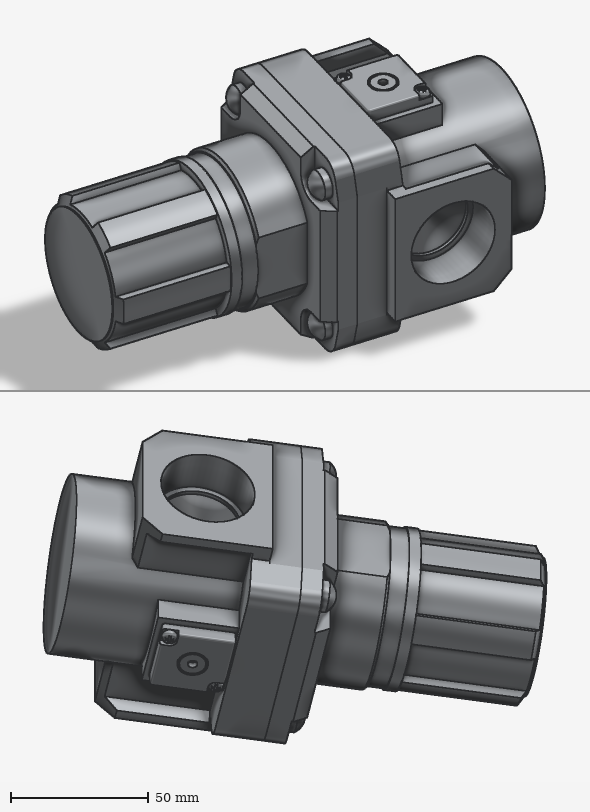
import cadquery as cq
import math


overall_width = 95.0
overall_height = 86.5

body_back_y = 46.0
port_block_back_y = 24.2
pad_back_y = 12.6
flange_back_y = -17.4
port_block_front_y = -24.0
split_y = -36.2
notch_floor_y = -44.0
bonnet_face_y = -49.9
neck_front_y = -71.1
collar_step_y = -78.0
collar_front_y = -82.4
knob_front_y = -129.6

flange_half_width = 81.8 / 2
flange_half_height = 84.8 / 2
flange_flat_half_height = 28.1
flange_side_lean = 15.0
flange_corner_radius = 7.9

body_radius = 66.2 / 2
port_plate_x = overall_width / 2
port_block_half_height = 54.3 / 2
port_block_chamfer = 7.4
port_rim_inner_x = 43.5
recess_floor_x = 42.0
recess_floor_z = 22.3
port_radius = 34.8 / 2
port_depth = 16.7
port_cone_radius = 30.4 / 2
port_cone_setback = 1.5
port_cone_depth = 9.1
pad_half_width = 32.3 / 2
pad_z = 76.4 / 2

bevel_inset = 3.2
bevel_length = 5.3
screw_offset = 62.0 / 2
screw_head_radius = 11.8 / 2
screw_head_side = 3.2
screw_dome_height = 3.3
notch_inner_x = 23.0
notch_inner_z = 24.5
notch_radius = 8.0
neck_radius = 31.0
neck_flat_x = 56.0 / 2
neck_chamfer = 1.0

collar_rear_radius = 29.5
collar_front_radius = 30.0
knob_radius = 26.7
rib_radius = 29.5
knob_face_radius = 25.6
knob_face_step = 0.5
knob_bevel_length = 2.3
rib_width = 10.9
rib_count = 6
knob_edge_y = knob_front_y + knob_face_step

plate_size = 27.2
plate_center_y = -3.2
plate_height = overall_height / 2 - pad_z
plate_fillet = 1.0
plate_screw_offset = 10.5
plate_notch_depth = 2.3
plate_notch_radius = 2.8
plate_screw_radius = 5.8 / 2
plate_screw_fillet = 2.0
cross_length = 3.2
cross_width = 0.9
cross_depth = 0.7
ring_outer_radius = 5.6
ring_inner_radius = 5.0
ring_depth = 0.9
dimple_radius = 1.8
dimple_depth = 2.6


def section_at(y):
    """Sketch plane across the axis; extrusions run forward, toward -Y."""
    return cq.Workplane("XZ", origin=(0, y, 0))


def cylinder(radius, back_y, front_y):
    return section_at(back_y).circle(radius).extrude(back_y - front_y)


def frustum(back_radius, front_radius, back_y, front_y):
    return (
        cq.Workplane("XY")
        .polyline([(0, back_y), (back_radius, back_y), (front_radius, front_y), (0, front_y)])
        .close()
        .revolve(360, (0, 0, 0), (0, 1, 0))
    )


def flange_side_x(z):
    """X of the leaning flange side at height z."""
    lean_rise = z - flange_flat_half_height
    return flange_half_width - lean_rise * math.tan(math.radians(flange_side_lean))


def flange(back_y, front_y, flat_half_height):
    """Slab with flat sides, sides leaning in above and below them, and rounded corners."""
    flat_x = flange_side_x(flat_half_height)
    top_x = flange_side_x(flange_half_height)
    outline = [
        (flat_x, flat_half_height),
        (top_x, flange_half_height),
        (-top_x, flange_half_height),
        (-flat_x, flat_half_height),
        (-flat_x, -flat_half_height),
        (-top_x, -flange_half_height),
        (top_x, -flange_half_height),
        (flat_x, -flat_half_height),
    ]
    slab = section_at(back_y).polyline(outline).close().extrude(back_y - front_y)
    corners = slab.edges("|Y").edges(">Z or <Z")
    return corners.fillet(flange_corner_radius)


def port_block():
    """Block across the body, hollowed above and below so a rim stands at each port face."""
    length = port_block_back_y - port_block_front_y
    block = (
        section_at(port_block_back_y)
        .rect(2 * port_plate_x, 2 * port_block_half_height)
        .extrude(length)
        .faces(">Y")
        .edges("|X")
        .chamfer(port_block_chamfer)
    )
    recess_length = port_block_back_y - flange_back_y
    for side in (1, -1):
        recess = (
            section_at(port_block_back_y)
            .polyline([
                (port_rim_inner_x, side * port_block_half_height),
                (recess_floor_x, side * recess_floor_z),
                (-recess_floor_x, side * recess_floor_z),
                (-port_rim_inner_x, side * port_block_half_height),
            ])
            .close()
            .extrude(recess_length)
        )
        block = block.cut(recess)
    return block


def port_cavity(side):
    """Straight bore from one port face, stepping down to a shorter bore with a conical end."""
    seat_x = port_plate_x - port_depth
    cone_x = seat_x - port_cone_setback
    return (
        cq.Workplane("XY")
        .polyline([
            (side * port_plate_x, 0),
            (side * port_plate_x, port_radius),
            (side * seat_x, port_radius),
            (side * seat_x, port_cone_radius),
            (side * cone_x, port_cone_radius),
            (side * (cone_x - port_cone_depth), 0),
        ])
        .close()
        .revolve(360, (0, 0, 0), (1, 0, 0))
    )


def make_housing():
    housing = cylinder(body_radius, body_back_y, split_y)
    housing = housing.union(port_block())
    pad = section_at(pad_back_y).rect(2 * pad_half_width, 2 * pad_z).extrude(pad_back_y - split_y)
    housing = housing.union(pad)
    housing = housing.union(flange(flange_back_y, port_block_front_y, port_block_half_height))
    housing = housing.union(flange(port_block_front_y, split_y, flange_flat_half_height))
    for side in (1, -1):
        housing = housing.cut(port_cavity(side))
    return housing


def bonnet_bevel():
    """Tapered envelope that bevels the four sides of the bonnet face."""
    length = split_y - bonnet_face_y
    return (
        section_at(split_y)
        .rect(2 * flange_half_width, 2 * flange_half_height)
        .extrude(length)
        .faces("<Y")
        .edges()
        .chamfer(bevel_length, bevel_inset)
    )


def screw_notch(side_x, side_z):
    """Corner clearance down to a screw seat, rounded around the screw."""
    size_x = flange_half_width - notch_inner_x
    size_z = flange_half_height - notch_inner_z
    notch = (
        section_at(notch_floor_y)
        .center(side_x * (notch_inner_x + size_x / 2), side_z * (notch_inner_z + size_z / 2))
        .rect(size_x, size_z)
        .extrude(notch_floor_y - bonnet_face_y)
    )
    inner_x = "<X" if side_x > 0 else ">X"
    inner_z = "<Z" if side_z > 0 else ">Z"
    inner_edge = notch.edges("|Y").edges(f"{inner_x} and {inner_z}")
    return inner_edge.fillet(notch_radius)


def screw_head(side_x, side_z):
    """Cylindrical head with a spherical cap, standing on its seat."""
    rim_y = notch_floor_y - screw_head_side
    crown_y = rim_y - screw_dome_height
    cap_radius = (screw_head_radius**2 + screw_dome_height**2) / (2 * screw_dome_height)
    mid_angle = math.asin(screw_head_radius / cap_radius) / 2
    mid_point = (
        cap_radius * math.sin(mid_angle),
        crown_y + cap_radius * (1 - math.cos(mid_angle)),
    )
    head = (
        cq.Workplane("XY")
        .moveTo(0, notch_floor_y)
        .lineTo(screw_head_radius, notch_floor_y)
        .lineTo(screw_head_radius, rim_y)
        .threePointArc(mid_point, (0, crown_y))
        .close()
        .revolve(360, (0, 0, 0), (0, 1, 0))
    )
    return head.translate((side_x * screw_offset, 0, side_z * screw_offset))


def neck():
    """Round neck with a flat on each side and a chamfered front rim."""
    length = bonnet_face_y - neck_front_y
    flats = section_at(bonnet_face_y).rect(2 * neck_flat_x, 2 * neck_radius).extrude(length)
    return (
        cylinder(neck_radius, bonnet_face_y, neck_front_y)
        .faces("<Y")
        .chamfer(neck_chamfer)
        .intersect(flats)
    )


def make_bonnet():
    bonnet = flange(split_y, bonnet_face_y, flange_flat_half_height).intersect(bonnet_bevel())
    for side_x in (1, -1):
        for side_z in (1, -1):
            bonnet = bonnet.cut(screw_notch(side_x, side_z))
            bonnet = bonnet.union(screw_head(side_x, side_z))
    return bonnet.union(neck())


def knob_ribs():
    """Bars across the knob, each forming two opposite ribs."""
    bars = None
    for index in range(rib_count // 2):
        bar = (
            section_at(collar_front_y)
            .rect(2 * collar_front_radius, rib_width)
            .extrude(collar_front_y - knob_edge_y)
            .rotate((0, 0, 0), (0, 1, 0), index * 360 / rib_count)
        )
        bars = bar if bars is None else bars.union(bar)
    return bars


def knob_grip():
    """Ribbed grip, with one conical bevel across its ribs and the surface between them."""
    bevel_start_y = knob_edge_y + knob_bevel_length
    envelope = cylinder(rib_radius, collar_front_y, bevel_start_y).union(
        frustum(rib_radius, knob_face_radius, bevel_start_y, knob_edge_y)
    )
    return cylinder(knob_radius, collar_front_y, knob_edge_y).union(knob_ribs()).intersect(envelope)


def make_knob():
    """Stepped collar, grip and a slightly raised disc on the front."""
    collar = cylinder(collar_rear_radius, neck_front_y, collar_step_y)
    collar = collar.union(cylinder(collar_front_radius, collar_step_y, collar_front_y))
    disc = cylinder(knob_face_radius, knob_edge_y, knob_front_y)
    return collar.union(knob_grip()).union(disc)


def plate_screw_notch(side):
    """Corner clearance for a plate screw, at +X+Y or -X-Y of the plate."""
    size = plate_size / 2 - plate_screw_offset + plate_screw_radius
    center = side * (plate_size - size) / 2
    floor_z = plate_height - plate_notch_depth
    notch = (
        cq.Workplane("XY", origin=(center, center, floor_z))
        .rect(size, size)
        .extrude(plate_notch_depth)
    )
    inner_edge = notch.edges("|Z").edges("<X and <Y" if side > 0 else ">X and >Y")
    return inner_edge.fillet(plate_notch_radius)


def plate_screw(side):
    """Small round screw head with a rounded top and a cross recess."""
    center = side * plate_screw_offset
    head = (
        cq.Workplane("XY", origin=(center, center, plate_height - plate_notch_depth))
        .circle(plate_screw_radius)
        .extrude(plate_notch_depth)
        .faces(">Z")
        .edges()
        .fillet(plate_screw_fillet)
    )
    top = cq.Workplane("XY", origin=(center, center, plate_height))
    for size_x, size_y in ((cross_length, cross_width), (cross_width, cross_length)):
        head = head.cut(top.rect(size_x, size_y).extrude(-cross_depth))
    return head


def make_cover_plate():
    """Square plate lying on Z = 0, with a ring groove, a dimple and two corner screws."""
    plate = (
        cq.Workplane("XY")
        .rect(plate_size, plate_size)
        .extrude(plate_height)
        .edges("|Z or >Z")
        .fillet(plate_fillet)
    )
    top = cq.Workplane("XY", origin=(0, 0, plate_height))
    plate = plate.cut(top.circle(ring_outer_radius).circle(ring_inner_radius).extrude(-ring_depth))
    plate = plate.cut(top.circle(dimple_radius).extrude(-dimple_depth))
    for side in (1, -1):
        plate = plate.cut(plate_screw_notch(side))
        plate = plate.union(plate_screw(side))
    return plate


housing = make_housing()
bonnet = make_bonnet()
knob = make_knob()

cover_plates = []
for turn in (0, 180):
    cover_plate = make_cover_plate().translate((0, plate_center_y, pad_z))
    cover_plates.append(cover_plate.rotate((0, 0, 0), (0, 1, 0), turn).val())

result = cq.Compound.makeCompound([housing.val(), bonnet.val(), knob.val(), *cover_plates])